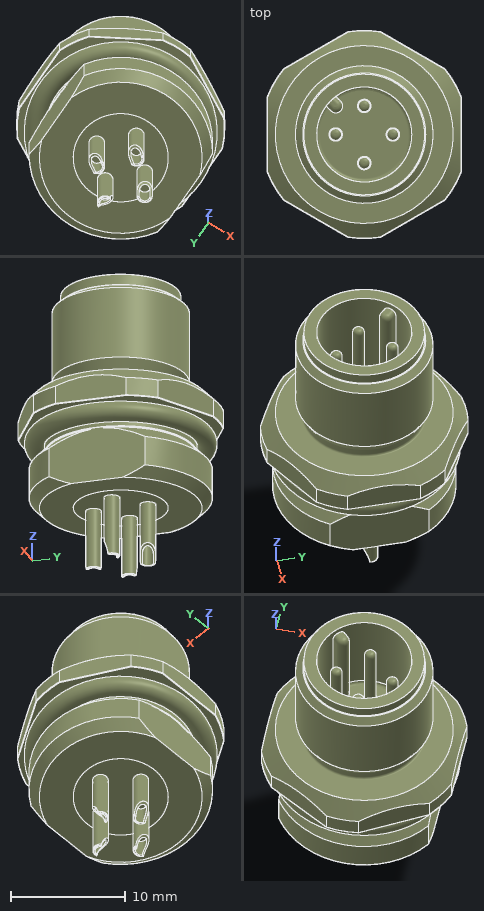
import cadquery as cq
import math

top_z = 25.5
rim_base_z = 24.48
lead_chamfer_base_z = 23.95
neck_top_z = 16.22
flange_top_z = 15.5
flange_base_z = 12.5
collar_top_z = 10.58
collar_lip_base_z = 10.45
housing_base_z = 5.55
floor_z = 16.83

rim_radius = 5.28
lead_chamfer_radius = 5.38
sleeve_radius = 6.02
neck_radius = 5.35
neck_fillet = 0.2
undercut_angle = math.radians(30)
bore_radius = 4.15

flange_across_flats = 17.0
flange_corner_radius = 9.1
flange_chamfer = 1.33
flange_edge_break = 0.05

groove_radius = 6.65
collar_radius = 8.03
collar_lip_radius = 6.73
collar_base_chamfer = 0.92
collar_across_flats = 13.41

ring_section_radius = 0.9
ring_path_radius = groove_radius + ring_section_radius
ring_z = flange_base_z - ring_section_radius

floor_fillet = 0.3
key_width = 1.2
key_center_radius = 3.52
key_top_z = 24.9
key_fillet = 0.48
key_angle = 135.0

pin_circle_radius = 2.5
contact_radius = 0.5
contact_top_z = 23.43
contact_fillet = 0.38
shank_radius = 0.59
tail_radius = 0.7
tail_top_z = 12.75
tail_chamfer = 0.08
cup_radius = 0.48
cup_depth = 2.05
scoop_radius = 2.55
scoop_center = (2.4, -0.2)
pin_angles = [(90, 15), (180, 180), (270, 195), (0, 245)]


def cylinder(radius, bottom_z, upper_z):
    """Upright cylinder on the connector axis."""
    return cq.Workplane("XY").workplane(offset=bottom_z).circle(radius).extrude(upper_z - bottom_z)


def make_sleeve():
    """Sleeve, plug rim and undercut neck, turned about the axis."""
    sleeve_base_z = neck_top_z + (sleeve_radius - neck_radius) / math.tan(undercut_angle)
    tangent = neck_fillet * math.tan(undercut_angle / 2)
    cone_foot = (
        neck_radius + tangent * math.sin(undercut_angle),
        neck_top_z + tangent * math.cos(undercut_angle),
    )
    return (
        cq.Workplane("XZ")
        .moveTo(0, flange_top_z)
        .lineTo(neck_radius + neck_fillet, flange_top_z)
        .radiusArc((neck_radius, flange_top_z + neck_fillet), neck_fillet)
        .lineTo(neck_radius, neck_top_z - tangent)
        .radiusArc(cone_foot, neck_fillet)
        .lineTo(sleeve_radius, sleeve_base_z)
        .lineTo(sleeve_radius, lead_chamfer_base_z)
        .lineTo(lead_chamfer_radius, rim_base_z)
        .lineTo(rim_radius, rim_base_z)
        .lineTo(rim_radius, top_z)
        .lineTo(0, top_z)
        .close()
        .revolve(360, (0, 0, 0), (0, 1, 0))
    )


def make_flange():
    """Hexagon with its corners turned down, its top edge chamfered and its bottom edge broken."""
    hexagon = (
        cq.Workplane("XY")
        .workplane(offset=flange_base_z)
        .polygon(6, flange_across_flats, circumscribed=True)
        .extrude(flange_top_z - flange_base_z)
    )
    blank = cylinder(flange_corner_radius, flange_base_z, flange_top_z)
    flange = hexagon.intersect(blank.faces(">Z").chamfer(flange_chamfer))
    return flange.faces("<Z").chamfer(flange_edge_break)


def make_collar():
    """Rear collar with a short lip, chamfered ends and two flats."""
    blank = (
        cq.Workplane("XZ")
        .moveTo(0, housing_base_z)
        .lineTo(collar_radius - collar_base_chamfer, housing_base_z)
        .lineTo(collar_radius, housing_base_z + collar_base_chamfer)
        .lineTo(collar_radius, collar_lip_base_z - (collar_radius - collar_lip_radius))
        .lineTo(collar_lip_radius, collar_lip_base_z)
        .lineTo(collar_lip_radius, collar_top_z)
        .lineTo(0, collar_top_z)
        .close()
        .revolve(360, (0, 0, 0), (0, 1, 0))
    )
    flats = (
        cq.Workplane("XY")
        .workplane(offset=housing_base_z)
        .rect(collar_across_flats, 2 * collar_radius)
        .extrude(collar_top_z - housing_base_z)
    )
    return blank.intersect(flats)


def make_housing():
    """Sleeve, flange, ring groove and collar in one piece, bored through."""
    groove = cylinder(groove_radius, housing_base_z, flange_base_z)
    body = make_sleeve().union(make_flange()).union(groove).union(make_collar())
    return body.cut(cylinder(bore_radius, housing_base_z, top_z))


def make_ring():
    """Sealing ring seated in the groove under the flange."""
    return (
        cq.Workplane("XZ")
        .center(ring_path_radius, ring_z)
        .circle(ring_section_radius)
        .revolve(360, (-ring_path_radius, 0, 0), (-ring_path_radius, 1, 0))
    )


def make_key():
    """Coding key: a round-topped bar standing on the floor and reaching the bore wall."""
    bar_length = bore_radius
    bar = (
        cq.Workplane("XY")
        .workplane(offset=floor_z)
        .center(key_center_radius + bar_length / 2, 0)
        .slot2D(bar_length + key_width, key_width)
        .extrude(key_top_z - floor_z)
        .faces(">Z")
        .edges()
        .fillet(key_fillet)
        .rotate((0, 0, 0), (0, 0, 1), key_angle)
    )
    return bar.intersect(cylinder(bore_radius, floor_z, top_z))


def make_insert(pins):
    """Contact carrier filling the rear of the bore, with a filleted edge round its floor."""
    base = cylinder(bore_radius, housing_base_z, floor_z + floor_fillet)
    recess = cylinder(bore_radius, floor_z, top_z).faces("<Z").edges().fillet(floor_fillet)
    carrier = base.cut(recess).union(make_key())
    for pin in pins:
        carrier = carrier.cut(pin)
    return carrier


def make_pin(position_angle, cup_angle):
    """Contact pin with a rounded tip and a scooped solder cup."""
    contact = cylinder(contact_radius, tail_top_z, contact_top_z).faces(">Z").edges().fillet(contact_fillet)
    shank = cylinder(shank_radius, tail_top_z, floor_z)
    tail = cylinder(tail_radius, 0, tail_top_z).faces("<Z").chamfer(tail_chamfer)
    cup = cylinder(cup_radius, 0, cup_depth)
    scoop = (
        cq.Workplane("XZ")
        .center(*scoop_center)
        .circle(scoop_radius)
        .extrude(tail_radius, both=True)
    )
    angle = math.radians(position_angle)
    place = (pin_circle_radius * math.cos(angle), pin_circle_radius * math.sin(angle), 0)
    pin = contact.union(shank).union(tail).cut(cup)
    return pin.cut(scoop).rotate((0, 0, 0), (0, 0, 1), cup_angle).translate(place)


housing = make_housing()
ring = make_ring()
pins = [make_pin(position, cup) for position, cup in pin_angles]
insert = make_insert(pins)

pin_solids = [pin.val() for pin in pins]
result = cq.Compound.makeCompound([housing.val(), ring.val(), insert.val(), *pin_solids])